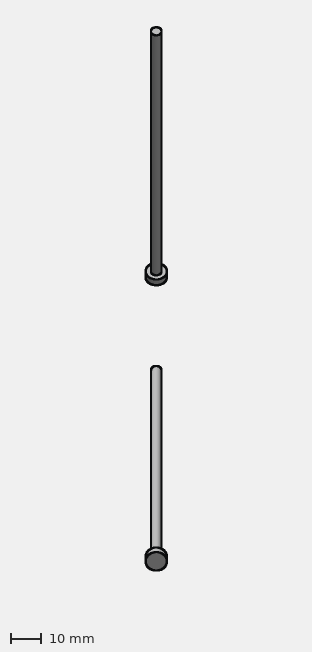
import cadquery as cq

overall_length = 125.0
head_diameter = 7.0
head_height = 3.0
shank_diameter = 3.5

shank_length = overall_length - head_height


def make_head():
    """Round head at the bottom of the pin, with its underside at Z = 0."""
    return cq.Workplane("XY").circle(head_diameter / 2).extrude(head_height)


def add_shank(head):
    """Plain round shank rising from the top of the head."""
    return head.faces(">Z").workplane().circle(shank_diameter / 2).extrude(shank_length)


result = add_shank(make_head())